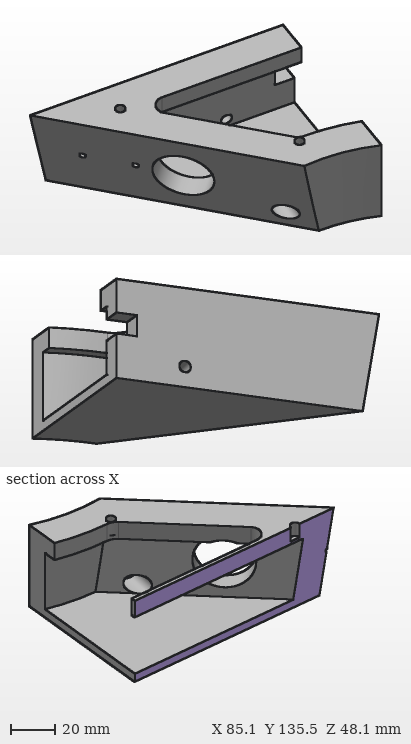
import cadquery as cq
import math

length_x = 85.08
length_y = 135.51
height = 48.05
side_length = 126.85

front_angle = 50.5
front_lean = 6.0

end_radius = 95.0
end_lowest_y = 107.5

wall = 16.0
undercut_wall = 10.0
floor_thickness = 5.0
lip_thickness = 10.0
pocket_tip_radius = 5.0
pocket_corner_radius = 8.0

slot_depth = 9.8
slot_bottom_z = 21.5
slot_height = 10.2

cross_hole_diameter = 5.5
access_hole_diameter = 10.0
access_hole_start_x = 50.0
cross_hole_y = 93.75
cross_hole_z = 10.0

bore_diameter = 28.9
bore_place = (70.8, 24.7)
bore_depth = wall
pin_diameter = 3.0
pin_places = [(23.9, 23.7), (48.6, 23.7)]
pin_depth = 8.0

top_hole_diameter = 4.6
top_hole_depth = 8.0
top_hole_places = [(14.0, 38.6), (66.8, 103.15)]

undercut_top_z = height - lip_thickness
end_sagitta = end_radius - math.sqrt(end_radius**2 - (length_y - end_lowest_y) ** 2)
end_centre = (length_x - end_sagitta + end_radius, end_lowest_y)
along = (math.cos(math.radians(front_angle)), math.sin(math.radians(front_angle)))
outward = (along[1], -along[0])
back_slope = (length_y - side_length) / length_x
reach = 2 * length_y


def front_line_y(x, inset):
    """Y on the front face's top edge at a given X, with the edge moved into the part by inset."""
    return (x * along[1] + inset) / along[0]


def back_y(x):
    """Y on the back face at a given X."""
    return side_length + back_slope * x


def end_cylinder(thickness, bottom_z, top_z):
    """Cylinder concentric with the curved end, larger by a wall thickness."""
    return (
        cq.Workplane("XY", origin=(*end_centre, bottom_z))
        .circle(end_radius + thickness)
        .extrude(top_z - bottom_z)
    )


def front_wedge(inset):
    """Wedge under the leaning front face, moved into the part by inset."""
    lean_shift = height * math.tan(math.radians(front_lean))
    across = cq.Plane(origin=(0, 0, 0), xDir=(*outward, 0), normal=(-along[0], -along[1], 0))
    return (
        cq.Workplane(across)
        .polyline([(-inset, height), (-inset - lean_shift, 0), (-inset + lean_shift, 0)])
        .close()
        .extrude(reach, both=True)
    )


def inset_prism(thickness, top_z):
    """Upright prism above the floor, inside the long side and the front's top edge by thickness."""
    tip_y = front_line_y(thickness, thickness)
    front_end_x = (length_y * along[0] - thickness) / along[1]
    return (
        cq.Workplane("XY", origin=(0, 0, floor_thickness))
        .polyline([(thickness, tip_y), (front_end_x, length_y), (thickness, length_y)])
        .close()
        .extrude(top_z - floor_thickness)
    )


def make_block():
    front_end = (length_x, front_line_y(length_x, 0))
    blank = (
        cq.Workplane("XY")
        .polyline([(0, 0), front_end, (length_x, length_y), (0, side_length)])
        .close()
        .extrude(height)
    )
    return blank.cut(front_wedge(0)).cut(end_cylinder(0, 0, height))


def make_pocket():
    """Upright pocket that forms the opening in the top face."""
    pocket = inset_prism(wall, height).cut(end_cylinder(wall, floor_thickness, height))
    pocket = pocket.edges("|Z and (not >Y) and (not <Y)").fillet(pocket_corner_radius)
    return pocket.edges("|Z and <Y").fillet(pocket_tip_radius)


def make_undercut():
    """Wider space below the lip; its front wall leans with the front face."""
    space = inset_prism(undercut_wall, undercut_top_z)
    space = space.cut(front_wedge(undercut_wall))
    return space.cut(end_cylinder(undercut_wall, floor_thickness, undercut_top_z))


def make_slot():
    return (
        cq.Workplane("XY", origin=(0, 0, slot_bottom_z))
        .polyline([
            (0, back_y(0) - slot_depth),
            (wall, back_y(wall) - slot_depth),
            (wall, length_y),
            (0, length_y),
        ])
        .close()
        .extrude(slot_height)
    )


def make_x_hole(diameter, start_x, end_x):
    return (
        cq.Workplane("YZ", origin=(start_x, cross_hole_y, cross_hole_z))
        .circle(diameter / 2)
        .extrude(end_x - start_x)
    )


def make_front_hole(place, diameter, depth):
    lean = math.radians(front_lean)
    normal = (outward[0] * math.cos(lean), outward[1] * math.cos(lean), -math.sin(lean))
    front_plane = cq.Plane(origin=(0, 0, height), xDir=(*along, 0), normal=normal)
    distance, drop = place
    return cq.Workplane(front_plane).center(distance, -drop).circle(diameter / 2).extrude(-depth)


def make_top_holes():
    return (
        cq.Workplane("XY", origin=(0, 0, height))
        .pushPoints(top_hole_places)
        .circle(top_hole_diameter / 2)
        .extrude(-top_hole_depth)
    )


result = make_block()
result = result.cut(make_pocket())
result = result.cut(make_undercut())
result = result.cut(make_slot())
result = result.cut(make_x_hole(cross_hole_diameter, 0, access_hole_start_x))
result = result.cut(make_x_hole(access_hole_diameter, access_hole_start_x, length_x))
result = result.cut(make_front_hole(bore_place, bore_diameter, bore_depth))
for pin_place in pin_places:
    result = result.cut(make_front_hole(pin_place, pin_diameter, pin_depth))
result = result.cut(make_top_holes())